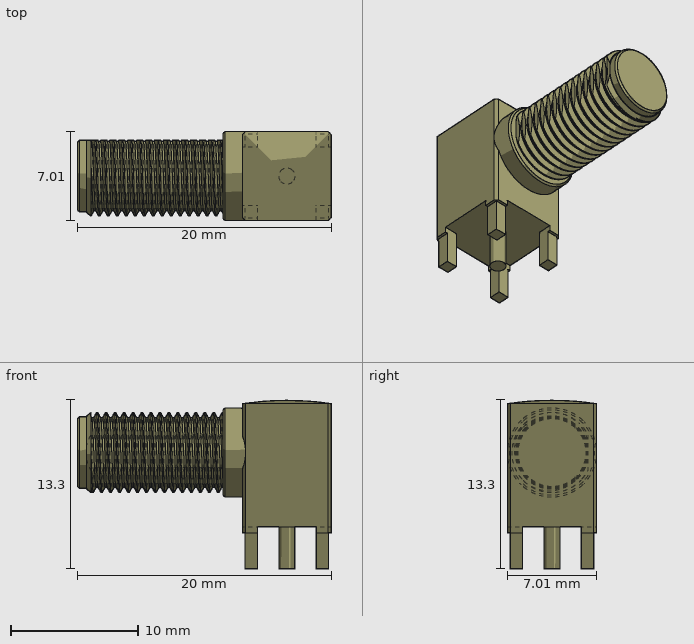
import cadquery as cq


housing_width = 7.01
housing_height = 10.16
corner_chamfer = 0.26
dome_rise = 0.27
half_width = housing_width / 2

standoff_height = 0.48
channel_width = 4.60
post_side = 0.99
pin_length = 2.83
contact_diameter = 1.27

axis_height = 6.32
overall_length = 19.96
nose_diameter = 5.64
nose_length = 0.72
collar_diameter = housing_width
collar_length = 1.52
edge_chamfer = 0.15
nose_face_x = half_width - overall_length
nose_end_x = nose_face_x + nose_length
collar_face_x = -half_width - collar_length

thread_major_diameter = 6.30
thread_root_diameter = 5.49
inch = 25.4
threads_per_inch = 36
thread_pitch = inch / threads_per_inch
root_flat = 0.16
crest_flat = 0.10
lead_in_length = 0.34
lead_in_depth = 0.27
crest_offset = 1.19
flat_distance = nose_diameter / 2
thread_start_x = nose_end_x + lead_in_length
thread_major_radius = thread_major_diameter / 2
thread_root_radius = thread_root_diameter / 2


def disc(diameter, start_x, end_x):
    """Cylinder on the barrel axis between two X positions."""
    plane = cq.Workplane("YZ", origin=(start_x, 0, axis_height))
    return plane.circle(diameter / 2).extrude(end_x - start_x)


def arched_block(plane_name):
    """Prism with the housing's side profile, closed on top by a shallow arc."""
    return (
        cq.Workplane(plane_name)
        .moveTo(-half_width, 0)
        .lineTo(half_width, 0)
        .lineTo(half_width, housing_height)
        .threePointArc((0, housing_height + dome_rise), (-half_width, housing_height))
        .close()
        .extrude(half_width, both=True)
    )


def make_housing():
    """Square block with a groin-vaulted top and crossed channels between four feet."""
    full_height = housing_height + dome_rise
    chamfered_column = (
        cq.Workplane("XY")
        .rect(housing_width, housing_width)
        .extrude(full_height)
        .edges("|Z")
        .chamfer(corner_chamfer)
    )
    housing = chamfered_column.intersect(arched_block("XZ")).intersect(arched_block("YZ"))
    for size_x, size_y in ((housing_width, channel_width), (channel_width, housing_width)):
        channel = cq.Workplane("XY").rect(size_x, size_y).extrude(standoff_height)
        housing = housing.cut(channel)
    return housing


def make_pins():
    """Four square ground posts under the feet and the round contact in the middle."""
    post_spacing = channel_width + post_side
    posts = (
        cq.Workplane("XY")
        .rect(post_spacing, post_spacing, forConstruction=True)
        .vertices()
        .rect(post_side, post_side)
        .extrude(-pin_length)
    )
    contact = (
        cq.Workplane("XY", origin=(0, 0, -pin_length))
        .circle(contact_diameter / 2)
        .extrude(pin_length + standoff_height)
    )
    return posts, contact


def make_thread_ridge():
    """Helical trapezoidal ridge, rooted inside the core and cut square at both ends."""
    root_embedding = 0.03
    thread_depth = thread_major_radius - thread_root_radius
    half_crest = crest_flat / 2
    half_base = (thread_pitch - root_flat) / 2
    flank_slope = (half_base - half_crest) / thread_depth
    inner_radius = thread_root_radius - root_embedding
    half_inner = half_base + flank_slope * root_embedding
    helix_start_x = nose_face_x + crest_offset - thread_pitch
    helix_length = collar_face_x + thread_pitch - helix_start_x

    helix = cq.Wire.makeHelix(thread_pitch, helix_length, thread_root_radius)
    ridge = (
        cq.Workplane("XZ")
        .moveTo(inner_radius, -half_inner)
        .lineTo(thread_major_radius, -half_crest)
        .lineTo(thread_major_radius, half_crest)
        .lineTo(inner_radius, half_inner)
        .close()
        .sweep(cq.Workplane(helix), isFrenet=True)
    )
    ridge = ridge.rotate((0, 0, 0), (0, 1, 0), 90).translate((helix_start_x, 0, axis_height))
    return ridge.intersect(disc(collar_diameter, thread_start_x, collar_face_x))


def make_thread():
    """Threaded core with a conical lead-in, flattened on the +Y side."""
    lead_in = cq.Workplane(
        cq.Solid.makeCone(
            thread_major_radius - lead_in_depth,
            thread_major_radius,
            lead_in_length,
            pnt=cq.Vector(nose_end_x, 0, axis_height),
            dir=cq.Vector(1, 0, 0),
        )
    )
    core = disc(thread_root_diameter, thread_start_x, collar_face_x)
    thread = core.union(make_thread_ridge()).union(lead_in)
    flat_cutter = cq.Workplane("XY").box(
        collar_face_x - nose_end_x,
        thread_major_diameter,
        thread_major_diameter,
        centered=(False, False, True),
    )
    return thread.cut(flat_cutter.translate((nose_end_x, flat_distance, axis_height)))


def make_barrel():
    """Nose, thread and collar; the collar reaches to the middle of the housing."""
    nose = disc(nose_diameter, nose_face_x, nose_end_x).faces("<X").chamfer(edge_chamfer)
    collar = disc(collar_diameter, collar_face_x, 0).faces("<X").chamfer(edge_chamfer)
    return nose.union(make_thread()).union(collar)


posts, contact = make_pins()
result = make_housing().union(posts).union(contact).union(make_barrel())